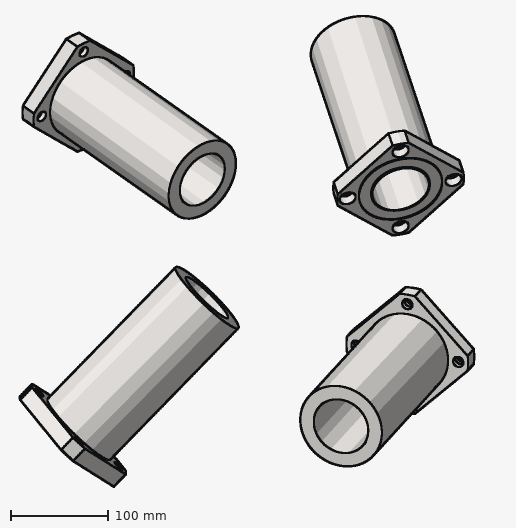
import cadquery as cq

total_length = 209.0
body_diameter = 90.0

flange_thickness = 18.0
flange_square = 106.0
flange_tilt = 45.0
flange_corner_diameter = 134.0

bolt_count = 4
bolt_circle_diameter = 112.0
bolt_hole_diameter = 11.0
counterbore_diameter = 17.0
counterbore_depth = 11.1

bore_diameter = 60.0
lip_wall = 1.0
lip_diameter = bore_diameter + 2 * lip_wall
recess_diameter = 88.0
recess_depth = 1.0


def cylinder(diameter, length):
    """Cylinder on the X axis, running from X = 0 towards +X."""
    return cq.Workplane("YZ").circle(diameter / 2).extrude(length)


def make_flange():
    square = (
        cq.Workplane("YZ")
        .transformed(rotate=(0, 0, flange_tilt))
        .rect(flange_square, flange_square)
        .extrude(flange_thickness)
    )
    return square.intersect(cylinder(flange_corner_diameter, flange_thickness))


def bolt_cylinders(diameter, depth):
    """Cylinders at all bolt positions, cut into the flange from X = 0."""
    return (
        cq.Workplane("YZ")
        .polarArray(bolt_circle_diameter / 2, 0, 360, bolt_count)
        .circle(diameter / 2)
        .extrude(depth)
    )


def cut_bolt_holes(part):
    part = part.cut(bolt_cylinders(bolt_hole_diameter, flange_thickness))
    return part.cut(bolt_cylinders(counterbore_diameter, counterbore_depth))


def cut_face_recess(part):
    """Ring-shaped recess in the flange face, with the bore lip standing flush inside it."""
    ring = cylinder(recess_diameter, recess_depth).cut(cylinder(lip_diameter, recess_depth))
    return part.cut(ring)


def cut_bore(part):
    return part.cut(cylinder(bore_diameter, total_length))


sleeve = make_flange().union(cylinder(body_diameter, total_length))
sleeve = cut_bolt_holes(sleeve)
sleeve = cut_face_recess(sleeve)
result = cut_bore(sleeve)